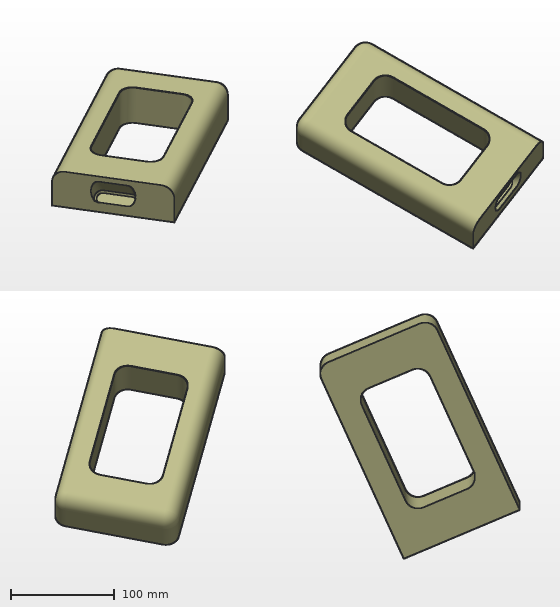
import cadquery as cq
import math

width = 122.0
length = 210.0
height = 40.0
edge_radius = 13.0

window_width = 71.8
window_length = 130.6
window_center_y = length / 2
window_corner_radius = 13.0
window_edge_chamfer = 0.5

slot_width = 44.3
slot_thickness = 15.5
slot_tilt = 48.0
slot_mouth_z = 22.5
slot_wall_depth = 18.7
slot_end_chamfer = 2.0
slot_lead = 25.2


def make_block():
    block = cq.Workplane("XY").box(width, length, height, centered=(True, False, False))
    block = block.edges("|Z and >Y").fillet(edge_radius)
    return block.faces(">Z").edges("not <Y").fillet(edge_radius)


def make_window():
    return (
        cq.Workplane("XY")
        .center(0, window_center_y)
        .rect(window_width, window_length)
        .extrude(height)
        .edges("|Z")
        .fillet(window_corner_radius)
    )


def chamfer_window_rim(body):
    reach_x = window_width / 2 + window_edge_chamfer
    reach_y = window_length / 2 + window_edge_chamfer
    lower = (-reach_x, window_center_y - reach_y, height - window_edge_chamfer)
    upper = (reach_x, window_center_y + reach_y, height + window_edge_chamfer)
    return body.edges(cq.selectors.BoxSelector(lower, upper)).chamfer(window_edge_chamfer)


def make_slot():
    tilt = math.radians(slot_tilt)
    axis = cq.Vector(0, math.cos(tilt), -math.sin(tilt))
    start = cq.Vector(0, 0, slot_mouth_z) - axis * slot_lead
    plane = cq.Plane(origin=start, xDir=(1, 0, 0), normal=axis)
    return (
        cq.Workplane(plane)
        .slot2D(slot_width, slot_thickness)
        .extrude(slot_lead + slot_wall_depth + slot_end_chamfer)
        .faces(cq.selectors.DirectionMinMaxSelector(axis))
        .chamfer(slot_end_chamfer)
    )


framed_block = chamfer_window_rim(make_block().cut(make_window()))
result = framed_block.cut(make_slot())